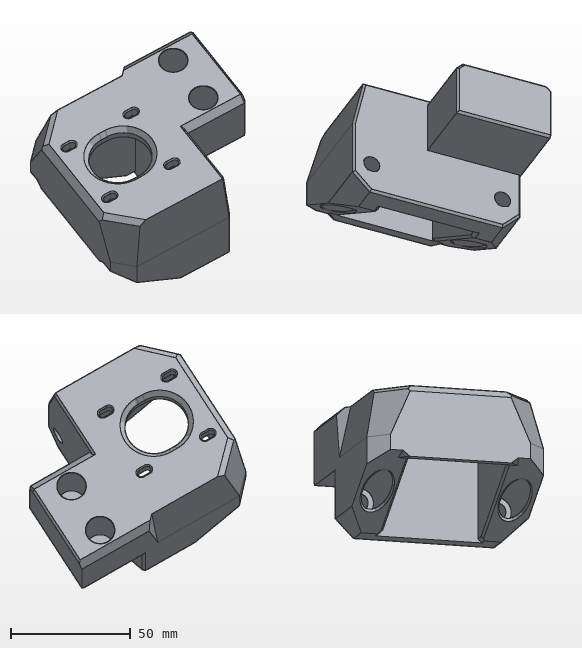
import cadquery as cq
import math

WIDTH = 77.0
LENGTH = 85.0
HEIGHT = 55.0
HALF_WIDTH = WIDTH / 2
FAR = 255.0

BODY_LENGTH = 55.0
ARM_WIDTH = 42.9
ARM_UNDERSIDE = 28.8
ARM_OVERLAP = 4.25
SMALL_CHAMFER = 1.0
LARGE_CHAMFER = 3.0
CORNER_CHAMFER = 8.0

DRAFT_START = 32.9
DRAFT_RISE = HEIGHT - DRAFT_START
DRAFT_INSET = 4.9
LEFT_DRAFT_END = 47.85
CORNER_TOP_CHAMFER = 1.95

SLOPE_FRONT = 26.35
SLOPE_RUN = 42.7
SLOPE_ANGLE = math.atan2(SLOPE_FRONT, SLOPE_RUN)

MOTOR_Y = 25.0
TRAVEL = 3.0
BAY_WIDTH = 42.8
BAY_LENGTH = BAY_WIDTH
PLATE_THICKNESS = 5.0
BAY_BOTTOM_CHAMFER = 1.7

LIP_BOTTOM = 24.0
LIP_OVERLAP = 1.7
LIP_HALF_TOP = 25.2
LIP_HALF_BOTTOM = 22.2

BOSS_DIAMETER = 24.0
BOSS_CHAMFER = 2.0
SCREW_SPACING = 31.0
SCREW_SLOT_WIDTH = 3.15
SCREW_SLOT_CHAMFER = 0.6

SOCKET_DIAMETER = 12.0
SOCKET_DEPTH = 21.25
SOCKET_CHAMFER = 0.2
SOCKET_SPACING = 22.95
SOCKET_X = 10.0 - HALF_WIDTH
SOCKET_Y = 69.95

BOLT_DIAMETER = 7.3
BOLT_HEAD_DIAMETER = 12.0
BOLT_X = 30.0
BOLT_Z = 13.9
BOLT_SEAT_Y = 46.75
BOLT_RIM_CHAMFER = 0.8


def box(x_min, x_max, y_min, y_max, z_min, z_max):
    """Axis-aligned block between the given limits."""
    size = (x_max - x_min, y_max - y_min, z_max - z_min)
    return cq.Workplane("XY").box(*size, centered=False).translate((x_min, y_min, z_min))


def outside(point, normal):
    """Large block filling the space beyond a plane; the normal points away from the part."""
    return cq.Workplane(cq.Plane(origin=point, normal=normal)).rect(FAR, FAR).extrude(FAR)


def flank_cutter(side):
    """Space beyond the drafted plane of one flank."""
    return outside((side * HALF_WIDTH, 0, DRAFT_START), (side * DRAFT_RISE, 0, DRAFT_INSET))


def make_body():
    """Main block with bottom corners, right-hand draft and a chamfered back outline."""
    body = box(-HALF_WIDTH, HALF_WIDTH, 0, BODY_LENGTH, 0, HEIGHT)
    body = body.edges("|Y and <Z").chamfer(CORNER_CHAMFER)
    body = body.cut(flank_cutter(1))
    return body.faces(">Y").edges().chamfer(SMALL_CHAMFER)


def make_arm():
    """Rear arm; its left back edge stays sharp."""
    right = ARM_WIDTH - HALF_WIDTH
    arm = box(-HALF_WIDTH, right, BODY_LENGTH - ARM_OVERLAP, LENGTH, ARM_UNDERSIDE, HEIGHT)
    arm = arm.edges("|Y and >X and >Z").chamfer(LARGE_CHAMFER)
    back = arm.faces(">Y")
    return back.edges("(not |Z) or >X").chamfer(SMALL_CHAMFER)


def left_flank_cutter():
    """Drafted left flank whose cut fades out in a run at 45 degrees towards the arm."""
    corner = (-HALF_WIDTH, LEFT_DRAFT_END, DRAFT_START)
    run_out = outside(corner, (-DRAFT_RISE, -DRAFT_RISE, DRAFT_INSET))
    return flank_cutter(-1).intersect(run_out)


def arm_chamfer_cutter():
    """Chamfer along the upper left edge, behind the drafted flank."""
    limits = box(-FAR, FAR, LEFT_DRAFT_END, FAR, 0, FAR)
    return outside((-HALF_WIDTH, 0, HEIGHT - LARGE_CHAMFER), (-1, 0, 1)).intersect(limits)


def front_corner_cutters(side):
    """Vertical corner, drafted corner above it and the chamfer along its top."""
    x = side * (HALF_WIDTH - CORNER_CHAMFER)
    inset = math.sqrt(2) * DRAFT_INSET
    tilt = math.atan2(inset, DRAFT_RISE)
    vertical = outside((x, 0, 0), (side, -1, 0))
    drafted = outside((x, 0, DRAFT_START), (side * DRAFT_RISE, -DRAFT_RISE, 2 * DRAFT_INSET))
    chamfer_tilt = math.pi / 4 + tilt / 2
    flat = math.cos(chamfer_tilt) / math.sqrt(2)
    top_x = x - side * math.sqrt(2) * (inset + CORNER_TOP_CHAMFER)
    top = outside((top_x, 0, HEIGHT), (side * flat, -flat, math.sin(chamfer_tilt)))
    return [vertical, drafted, top]


def slope_y(z):
    """Y of the sloped underside at a given height."""
    return (SLOPE_FRONT - z) / math.tan(SLOPE_ANGLE)


def slope_cutter():
    """Space below the sloped underside of the feet."""
    return outside((0, 0, SLOPE_FRONT), (0, -math.sin(SLOPE_ANGLE), -math.cos(SLOPE_ANGLE)))


def bay_edge_cutter(side):
    """Chamfers where a side wall of the bay meets the slope and the bottom."""
    x = side * BAY_WIDTH / 2
    downhill = (0, math.cos(SLOPE_ANGLE), -math.sin(SLOPE_ANGLE))
    slope_plane = cq.Plane((x, 0, SLOPE_FRONT), (1, 0, 0), downhill)
    on_slope = cq.Workplane(slope_plane).polygon(4, 2 * SMALL_CHAMFER).extrude(FAR)
    bottom_plane = cq.Plane((x, MOTOR_Y, 0), (1, 0, 0), (0, 1, 0))
    on_bottom = cq.Workplane(bottom_plane).polygon(4, 2 * BAY_BOTTOM_CHAMFER).extrude(BAY_LENGTH / 2)
    return on_slope.union(on_bottom)


def make_lip():
    """Lip of the bay's front wall below the slope, with slanted ends."""
    depth = slope_y(LIP_BOTTOM)
    lip = box(-HALF_WIDTH, HALF_WIDTH, 0, depth, LIP_BOTTOM, SLOPE_FRONT + LIP_OVERLAP)
    rise = SLOPE_FRONT - LIP_BOTTOM
    spread = LIP_HALF_TOP - LIP_HALF_BOTTOM
    for side in (-1, 1):
        normal = (side * rise, -rise, -spread)
        lip = lip.cut(outside((side * LIP_HALF_BOTTOM, 0, LIP_BOTTOM), normal))
    return lip


def make_bay():
    """Rectangular motor bay, open at the bottom."""
    half = BAY_LENGTH / 2
    ceiling = HEIGHT - PLATE_THICKNESS
    return box(-BAY_WIDTH / 2, BAY_WIDTH / 2, MOTOR_Y - half, MOTOR_Y + half, 0, ceiling)


def chamfered_slot(x, y, width, chamfer):
    """Slot through the motor plate, lengthened along Y by the travel, with a chamfered rim."""
    slot = (
        cq.Workplane("XY", origin=(x, y, HEIGHT))
        .slot2D(width + TRAVEL, width, 90)
        .extrude(-2 * PLATE_THICKNESS)
    )
    rim = (
        cq.Workplane("XY", origin=(x, y, HEIGHT))
        .slot2D(width + 2 * chamfer + TRAVEL, width + 2 * chamfer, 90)
        .extrude(-chamfer, taper=45)
    )
    return slot.union(rim)


def socket_cutter(x):
    """Blind socket in the arm with a slightly chamfered mouth."""
    radius = SOCKET_DIAMETER / 2
    top = cq.Workplane("XY", origin=(x, SOCKET_Y, HEIGHT))
    mouth = top.circle(radius + SOCKET_CHAMFER).extrude(-SOCKET_CHAMFER, taper=45)
    return top.circle(radius).extrude(-SOCKET_DEPTH).union(mouth)


def cylinder_along_y(x, diameter, start, end):
    """Cylinder at bolt height between two Y positions."""
    circle = cq.Workplane("XZ", origin=(x, start, BOLT_Z)).circle(diameter / 2)
    return circle.extrude(start - end)


def rim_ellipse(x, y, z, radius, run):
    """Ellipse on a slanted plane that appears as a circle along Y; run is dY per unit of Z."""
    stretch = math.hypot(1, run)
    normal = cq.Vector(0, 1, run)
    uphill = cq.Vector(0, -run, 1)
    edge = cq.Edge.makeEllipse(stretch * radius, radius, cq.Vector(x, y, z), normal, uphill)
    return cq.Wire.assembleEdges([edge])


def bolt_cutter(x):
    """Bolt hole, head recess opening on the slope, and the chamfered rim of the recess."""
    radius = BOLT_HEAD_DIAMETER / 2
    rim_radius = radius + BOLT_RIM_CHAMFER
    run = 1 / math.tan(SLOPE_ANGLE)
    rim_z = BOLT_Z - BOLT_RIM_CHAMFER * math.cos(SLOPE_ANGLE)
    inner_y = slope_y(BOLT_Z) + BOLT_RIM_CHAMFER / math.sin(SLOPE_ANGLE)
    outer = rim_ellipse(x, slope_y(rim_z), rim_z, rim_radius, run)
    inner = rim_ellipse(x, inner_y, BOLT_Z, radius, run * rim_radius / radius)
    rim = cq.Workplane(cq.Solid.makeLoft([outer, inner], True))
    hole = cylinder_along_y(x, BOLT_DIAMETER, 0, BODY_LENGTH)
    recess = cylinder_along_y(x, BOLT_HEAD_DIAMETER, 0, BOLT_SEAT_Y)
    return hole.union(recess).union(rim)


result = make_body().union(make_arm())
result = result.cut(left_flank_cutter()).cut(arm_chamfer_cutter())
result = result.cut(outside((0, 0, HEIGHT - LARGE_CHAMFER), (0, -1, 1)))
for side in (-1, 1):
    for cutter in front_corner_cutters(side):
        result = result.cut(cutter)

result = result.cut(slope_cutter())
for side in (-1, 1):
    result = result.cut(bay_edge_cutter(side))
result = result.union(make_lip()).cut(make_bay())

result = result.cut(chamfered_slot(0, MOTOR_Y, BOSS_DIAMETER, BOSS_CHAMFER))
for x in (-SCREW_SPACING / 2, SCREW_SPACING / 2):
    for y in (MOTOR_Y - SCREW_SPACING / 2, MOTOR_Y + SCREW_SPACING / 2):
        result = result.cut(chamfered_slot(x, y, SCREW_SLOT_WIDTH, SCREW_SLOT_CHAMFER))

for x in (SOCKET_X, SOCKET_X + SOCKET_SPACING):
    result = result.cut(socket_cutter(x))
for x in (-BOLT_X, BOLT_X):
    result = result.cut(bolt_cutter(x))